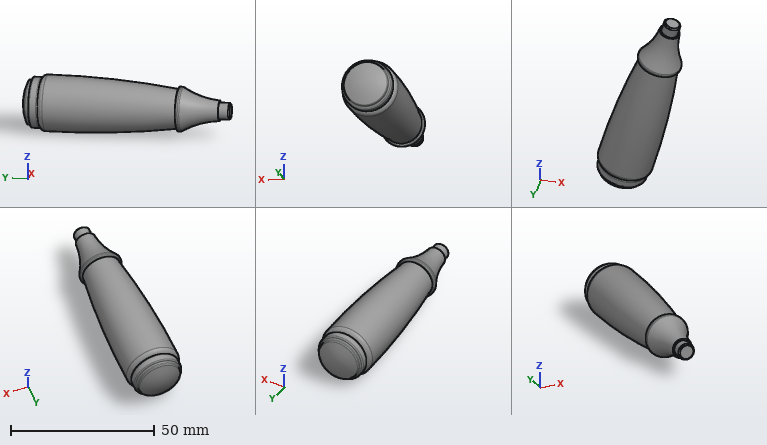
import cadquery as cq
import math


pin_length = 4.0
ferrule_length = 14.6
grip_length = 48.8
collar_length = 3.15
button_length = 1.3
overall_length = 73.73

ferrule_start = pin_length
ferrule_end = ferrule_start + ferrule_length
grip_end = ferrule_end + grip_length
collar_end = grip_end + collar_length
button_end = collar_end + button_length

pin_radius = 3.0
pin_chamfer = 0.5

ferrule_nose_radius = 3.65
ferrule_rim_radius = 7.9
rim_thickness = 1.2
rim_edge_fillet = 0.4
rim_front_fillet = 1.0
flare_sag = 0.85

grip_front_radius = 7.0
grip_belly_radius = 10.0
grip_back_radius = 9.95
belly_from_ferrule = 41.3
grip_back_fillet = 2.0

collar_radius = 9.0
button_radius = 8.0
collar_fillet = 0.45
button_root_fillet = 0.45
button_edge_fillet = 0.5


def revolve_about_y(profile):
    """Revolve a closed (radius, Y) profile a full turn about the Y axis."""
    return profile.close().revolve(360, (0, 0, 0), (0, 1, 0))


def circle_edge(y, radius):
    """Selector box that catches only the circular edge at height y with the given radius."""
    half_gap = 0.01
    reach = radius + half_gap
    return cq.selectors.BoxSelector(
        (-reach, y - half_gap, -reach), (reach, y + half_gap, reach), boundingbox=True
    )


def make_pin():
    pin = revolve_about_y(
        cq.Workplane("XY")
        .lineTo(pin_radius, 0)
        .lineTo(pin_radius, pin_length)
        .lineTo(0, pin_length)
    )
    return pin.faces("<Y").edges().chamfer(pin_chamfer)


def make_ferrule():
    """Trumpet-shaped ferrule: a concave flare that opens into a rounded rim."""
    flare_end = ferrule_end - rim_thickness
    flare_rise = flare_end - ferrule_start
    flare_spread = ferrule_rim_radius - ferrule_nose_radius
    flare_chord = math.hypot(flare_rise, flare_spread)
    flare_middle = (
        (ferrule_nose_radius + ferrule_rim_radius) / 2 - flare_sag * flare_rise / flare_chord,
        (ferrule_start + flare_end) / 2 + flare_sag * flare_spread / flare_chord,
    )
    ferrule = revolve_about_y(
        cq.Workplane("XY")
        .moveTo(0, ferrule_start)
        .lineTo(ferrule_nose_radius, ferrule_start)
        .threePointArc(flare_middle, (ferrule_rim_radius, flare_end))
        .lineTo(ferrule_rim_radius, ferrule_end)
        .lineTo(0, ferrule_end)
    )
    ferrule = ferrule.edges(circle_edge(flare_end, ferrule_rim_radius)).fillet(rim_front_fillet)
    return ferrule.faces(">Y").edges().fillet(rim_edge_fillet)


def make_grip():
    """Barrel-shaped grip, widest near the cap and rounded over at its back end."""
    grip = revolve_about_y(
        cq.Workplane("XY")
        .moveTo(0, ferrule_end)
        .lineTo(grip_front_radius, ferrule_end)
        .threePointArc(
            (grip_belly_radius, ferrule_end + belly_from_ferrule),
            (grip_back_radius, grip_end),
        )
        .lineTo(0, grip_end)
    )
    return grip.faces(">Y").edges().fillet(grip_back_fillet)


def make_cap():
    """End cap: a collar with a smaller domed button on top."""
    dome_height = overall_length - button_end
    dome_radius = (button_radius**2 + dome_height**2) / (2 * dome_height)
    half_dome_angle = math.asin(button_radius / dome_radius) / 2
    dome_middle = (
        dome_radius * math.sin(half_dome_angle),
        overall_length - dome_radius * (1 - math.cos(half_dome_angle)),
    )
    cap = revolve_about_y(
        cq.Workplane("XY")
        .moveTo(0, grip_end)
        .lineTo(collar_radius, grip_end)
        .lineTo(collar_radius, collar_end)
        .lineTo(button_radius, collar_end)
        .lineTo(button_radius, button_end)
        .threePointArc(dome_middle, (0, overall_length))
    )
    cap = cap.edges(circle_edge(button_end, button_radius)).fillet(button_edge_fillet)
    cap = cap.edges(circle_edge(collar_end, button_radius)).fillet(button_root_fillet)
    cap = cap.edges(circle_edge(collar_end, collar_radius)).fillet(collar_fillet)
    return cap.faces("<Y").edges().fillet(collar_fillet)


pin = make_pin()
ferrule = make_ferrule()
grip = make_grip()
cap = make_cap()

result = cq.Compound.makeCompound([pin.val(), ferrule.val(), grip.val(), cap.val()])